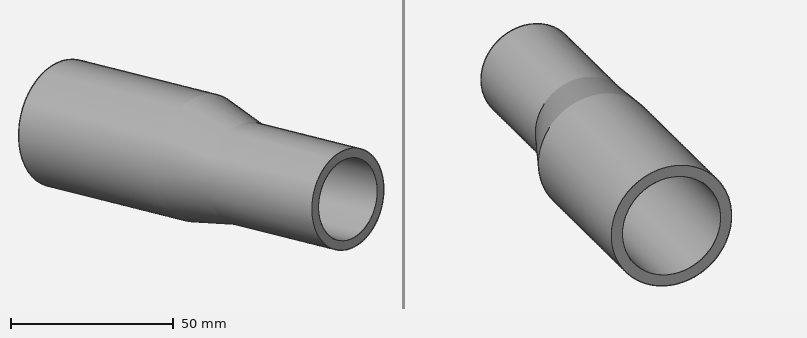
import cadquery as cq

total_length = 125.0
large_length = 59.0
taper_length = 22.0
small_length = total_length - large_length - taper_length

large_outer_diameter = 40.0
large_bore_diameter = 32.6
small_outer_diameter = 32.0
small_bore_diameter = 26.0

small_end_offset = -(large_outer_diameter - small_outer_diameter) / 2


def stepped_body(large_diameter, small_diameter):
    """Large cylinder, eccentric taper and small cylinder joined along X."""
    large_end = cq.Workplane("YZ").circle(large_diameter / 2).extrude(large_length)
    taper = (
        cq.Workplane("YZ", origin=(large_length, 0, 0))
        .circle(large_diameter / 2)
        .workplane(offset=taper_length)
        .center(small_end_offset, 0)
        .circle(small_diameter / 2)
        .loft(ruled=True)
    )
    small_end = (
        cq.Workplane("YZ", origin=(large_length + taper_length, small_end_offset, 0))
        .circle(small_diameter / 2)
        .extrude(small_length)
    )
    return large_end.union(taper).union(small_end)


outside = stepped_body(large_outer_diameter, small_outer_diameter)
bore = stepped_body(large_bore_diameter, small_bore_diameter)

result = outside.cut(bore)